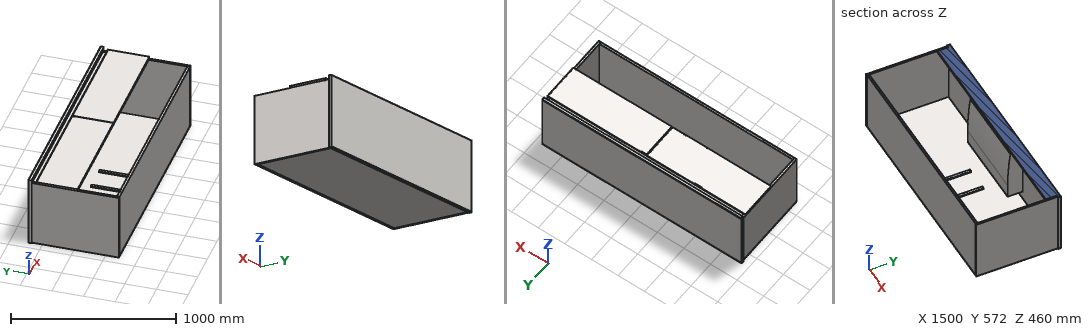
import cadquery as cq

back_width = 1500.0
total_depth = 572.0
total_height = 460.0

body_width = 1488.0
body_height = 436.0
panel_thickness = 16.0
back_thickness = 21.0
back_chamfer = 3.0

lid_depth = 262.0
lid_thickness = 14.0
lid_rear_gap = 27.0
lid_middle_gap = 5.0
lid_rebate_depth = 9.0
lid_rebate_height = 6.0

rail_depth = 75.0
box_width = 540.0
box_depth = 100.0
box_floor_gap = 55.0
box_straight_height = 93.0
box_top_setback = 18.0

strip_width = 18.0
strip_spacing = 166.0
strip_height = 8.0
strip_length = 360.0

inner_width = body_width - 2 * panel_thickness
back_front_y = total_depth - back_thickness
lid_rear_y = back_front_y - lid_rear_gap
rail_bottom_z = body_height - panel_thickness


def block(width, y_start, y_end, z_start, z_end, x_center=0.0):
    """Rectangular block centred on x_center, between the given Y and Z limits."""
    solid = cq.Workplane("XY").box(width, y_end - y_start, z_end - z_start, centered=(True, False, False))
    return solid.translate((x_center, y_start, z_start))


def make_side_panel(side):
    x_center = side * (body_width - panel_thickness) / 2
    return block(panel_thickness, 0, back_front_y, 0, body_height, x_center)


def make_front_panel():
    return block(inner_width, 0, panel_thickness, 0, body_height)


def make_rear_box():
    """Box on the back panel whose front curves back above a straight lower part."""
    front_y = back_front_y - box_depth
    bottom_z = panel_thickness + box_floor_gap
    curve_start_z = bottom_z + box_straight_height
    profile = (
        cq.Workplane("YZ")
        .moveTo(back_front_y, bottom_z)
        .lineTo(front_y, bottom_z)
        .lineTo(front_y, curve_start_z)
        .tangentArcPoint((front_y + box_top_setback, rail_bottom_z), relative=False)
        .lineTo(back_front_y, rail_bottom_z)
        .close()
    )
    return profile.extrude(box_width / 2, both=True)


def make_back_panel():
    """Oversized panel, chamfered around its outer face, with the rear rail and box on its inner face."""
    panel = block(back_width, back_front_y, total_depth, 0, total_height)
    panel = panel.faces(">Y").chamfer(back_chamfer)
    rail = block(inner_width, back_front_y - rail_depth, back_front_y, rail_bottom_z, body_height)
    return panel.union(rail).union(make_rear_box())


def make_lid(side):
    """One lid, with a rebate along its lower rear edge."""
    width = (body_width - lid_middle_gap) / 2
    x_center = side * (width + lid_middle_gap) / 2
    lid = block(width, lid_rear_y - lid_depth, lid_rear_y, body_height, body_height + lid_thickness, x_center)
    rebate = block(
        width, lid_rear_y - lid_rebate_depth, lid_rear_y, body_height, body_height + lid_rebate_height, x_center
    )
    return lid.cut(rebate)


def make_floor():
    """Floor panel with two low strips running back from the front panel."""
    floor = block(inner_width, panel_thickness, back_front_y, 0, panel_thickness)
    for side in (-1, 1):
        strip = block(
            strip_width,
            panel_thickness,
            panel_thickness + strip_length,
            panel_thickness,
            panel_thickness + strip_height,
            side * strip_spacing / 2,
        )
        floor = floor.union(strip)
    return floor


side_panels = [make_side_panel(side) for side in (-1, 1)]
lids = [make_lid(side) for side in (-1, 1)]
front_panel = make_front_panel()
back_panel = make_back_panel()
floor_panel = make_floor()

bodies = [*side_panels, front_panel, back_panel, *lids, floor_panel]
result = cq.Compound.makeCompound([solid for body in bodies for solid in body.vals()])